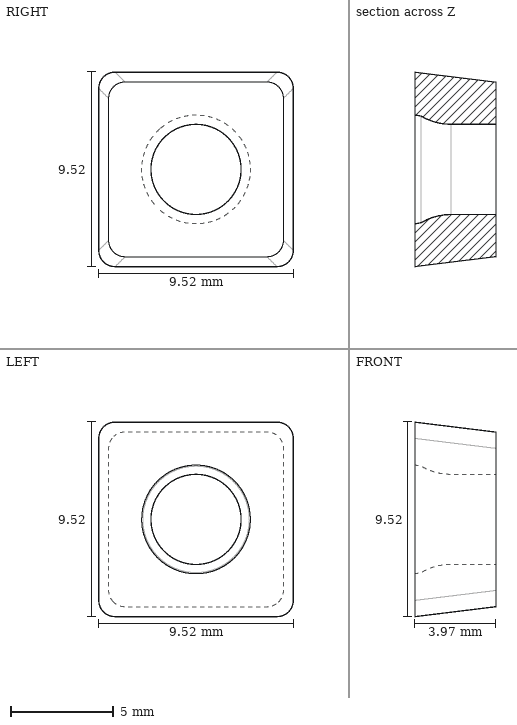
import cadquery as cq
import math

side = 9.52
thickness = 3.97
clearance_angle = 7.0
corner_radius = 0.8

bore_radius = 4.4 / 2
mouth_radius = 5.32 / 2
throat_radius = 5.21 / 2
mouth_depth = 0.3
throat_depth = 1.46

large_face_x = -thickness / 2
small_face_x = thickness / 2


def rounded_square(size):
    """Square sketch with the same corner radius at any size."""
    return cq.Sketch().rect(size, size).vertices().fillet(corner_radius)


def insert_body():
    """Loft between the two faces; equal corner radii make the corners slanted cylinders."""
    small_side = side - 2 * thickness * math.tan(math.radians(clearance_angle))
    large_face = rounded_square(side)
    small_face = rounded_square(small_side).moved(cq.Location(cq.Vector(0, 0, thickness)))
    start = cq.Workplane("YZ", origin=(large_face_x, 0, 0))
    return start.placeSketch(large_face, small_face).loft(ruled=True)


def screw_hole():
    """Revolved cutter whose throat arc runs tangent into the bore."""
    throat_start_x = large_face_x + mouth_depth
    bore_start_x = throat_start_x + throat_depth
    radius_drop = throat_radius - bore_radius
    arc_radius = (throat_depth**2 + radius_drop**2) / (2 * radius_drop)
    half_sweep = math.asin(throat_depth / arc_radius) / 2
    arc_middle = (
        bore_start_x - arc_radius * math.sin(half_sweep),
        bore_radius + arc_radius * (1 - math.cos(half_sweep)),
    )
    return (
        cq.Workplane("XZ")
        .moveTo(large_face_x, 0)
        .lineTo(large_face_x, mouth_radius)
        .lineTo(throat_start_x, throat_radius)
        .threePointArc(arc_middle, (bore_start_x, bore_radius))
        .lineTo(small_face_x, bore_radius)
        .lineTo(small_face_x, 0)
        .close()
        .revolve(360, (0, 0, 0), (1, 0, 0))
    )


result = insert_body().cut(screw_hole())